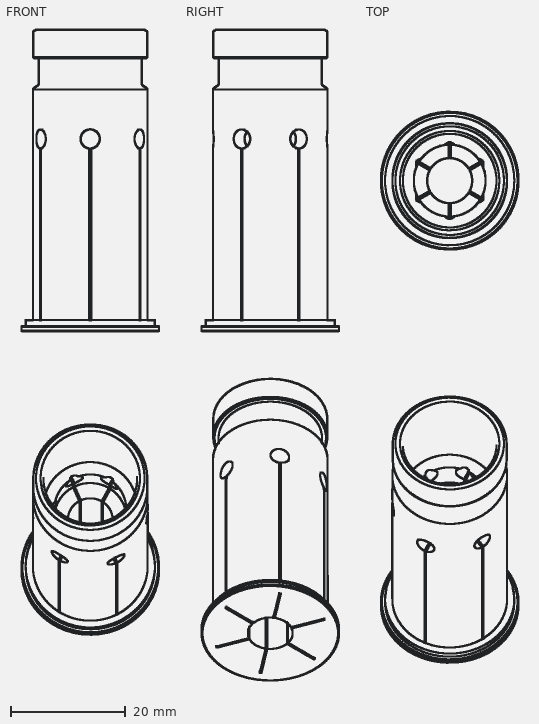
import cadquery as cq
import math

total_height = 52.5
body_radius = 20 / 2

flange_radius = 24 / 2
flange_thickness = 1.0
flange_chamfer = 0.2
flange_step_radius = 22.5 / 2
flange_top = 2.0

head_radius = 19.9 / 2
head_height = 5.0
head_lower_chamfer = 0.25
neck_radius = 18 / 2
neck_fillet = 0.4
neck_straight_depth = 9.4

shoulder_slope = math.radians(30)
shoulder_chamfer = 0.35

rim_slope = math.radians(30)
rim_cone_width = 0.3
rim_round = 0.4
rim_round_width = rim_round * (1 - math.sin(rim_slope))
rim_round_top = total_height - rim_cone_width * math.tan(rim_slope)
rim_round_bottom = rim_round_top - rim_round * math.cos(rim_slope)

upper_bore_radius = 16.3 / 2
middle_bore_radius = 12.5 / 2
clamp_bore_radius = 7.8 / 2
drill_half_angle = math.radians(59)
upper_cone_top = 36.05
middle_cone_top = 30.0

slit_count = 6
slit_width = 0.3
first_slit_angle = 30
relief_hole_diameter = 3.3
relief_hole_height = 33.5


def drill_cone_depth(outer_radius, inner_radius):
    """Height of a drill-point cone between two radii."""
    return (outer_radius - inner_radius) / math.tan(drill_half_angle)


def make_outer_body():
    head_bottom = total_height - head_height
    neck_bottom = total_height - neck_straight_depth
    fillet_end_radius = neck_radius + neck_fillet * (1 - math.sin(shoulder_slope))
    fillet_end_height = neck_bottom - neck_fillet * math.cos(shoulder_slope)
    cone_end_radius = body_radius - shoulder_chamfer
    cone_width = cone_end_radius - fillet_end_radius
    cone_end_height = fillet_end_height - cone_width * math.tan(shoulder_slope)
    return (
        cq.Workplane("XZ")
        .lineTo(flange_radius - flange_chamfer, 0)
        .lineTo(flange_radius, flange_chamfer)
        .lineTo(flange_radius, flange_thickness - flange_chamfer)
        .lineTo(flange_radius - flange_chamfer, flange_thickness)
        .lineTo(flange_step_radius, flange_thickness)
        .lineTo(flange_step_radius, flange_top)
        .lineTo(body_radius, flange_top)
        .lineTo(body_radius, cone_end_height - shoulder_chamfer)
        .lineTo(cone_end_radius, cone_end_height)
        .lineTo(fillet_end_radius, fillet_end_height)
        .radiusArc((neck_radius, neck_bottom), neck_fillet)
        .lineTo(neck_radius, head_bottom)
        .lineTo(head_radius - head_lower_chamfer, head_bottom)
        .lineTo(head_radius, head_bottom + head_lower_chamfer)
        .lineTo(head_radius, rim_round_bottom)
        .radiusArc((head_radius - rim_round_width, rim_round_top), -rim_round)
        .lineTo(head_radius - rim_round_width - rim_cone_width, total_height)
        .lineTo(0, total_height)
        .close()
        .revolve(360, (0, 0, 0), (0, 1, 0))
    )


def make_bore():
    upper_cone_bottom = upper_cone_top - drill_cone_depth(upper_bore_radius, middle_bore_radius)
    middle_cone_bottom = middle_cone_top - drill_cone_depth(middle_bore_radius, clamp_bore_radius)
    return (
        cq.Workplane("XZ")
        .lineTo(clamp_bore_radius, 0)
        .lineTo(clamp_bore_radius, middle_cone_bottom)
        .lineTo(middle_bore_radius, middle_cone_top)
        .lineTo(middle_bore_radius, upper_cone_bottom)
        .lineTo(upper_bore_radius, upper_cone_top)
        .lineTo(upper_bore_radius, rim_round_bottom)
        .radiusArc((upper_bore_radius + rim_round_width, rim_round_top), rim_round)
        .lineTo(upper_bore_radius + rim_round_width + rim_cone_width, total_height)
        .lineTo(0, total_height)
        .close()
        .revolve(360, (0, 0, 0), (0, 1, 0))
    )


def make_slit():
    """Slit along +X through the wall, kept inside the body radius so the flange rim stays whole."""
    slit = cq.Workplane("XY").box(
        body_radius, slit_width, relief_hole_height, centered=(False, True, False)
    )
    core = cq.Workplane("XY").circle(body_radius).extrude(relief_hole_height)
    return slit.intersect(core)


def make_relief_hole():
    return (
        cq.Workplane("YZ")
        .center(0, relief_hole_height)
        .circle(relief_hole_diameter / 2)
        .extrude(flange_radius)
    )


result = make_outer_body().cut(make_bore())
slit_cutter = make_slit()
relief_hole_cutter = make_relief_hole()
for index in range(slit_count):
    angle = first_slit_angle + index * 360 / slit_count
    for cutter in (slit_cutter, relief_hole_cutter):
        result = result.cut(cutter.rotate((0, 0, 0), (0, 0, 1), angle))